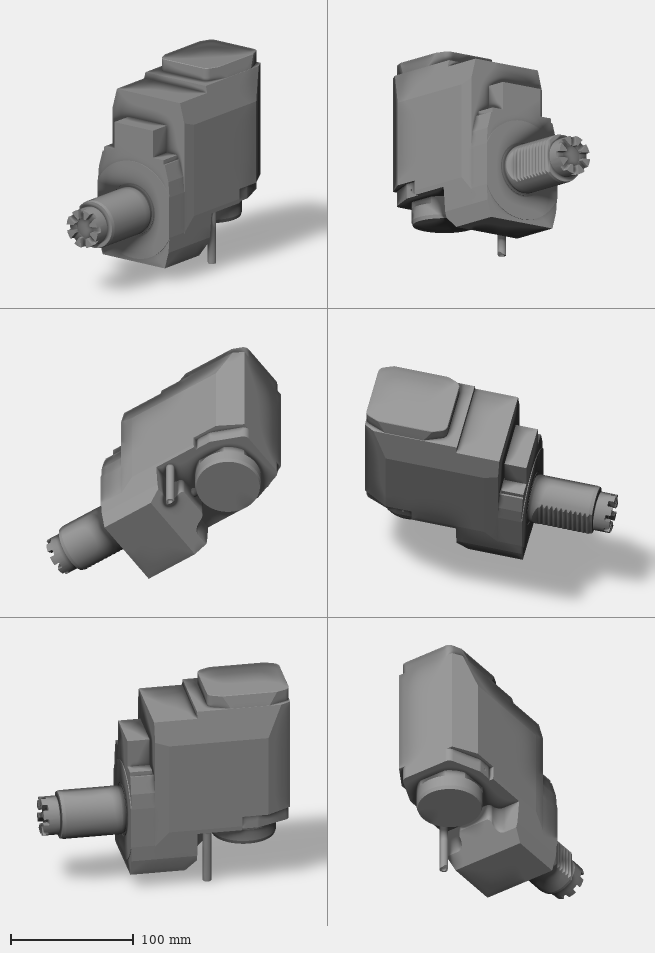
import cadquery as cq
import math


half_width = 38.0
rear_y = 133.7
front_y = 19.5
roof_z = 97.8
step_roof_z = 92.1
step_roof_y = 55.5
shoulder_z = 72.0
belly_z = -5.9
floor_z = -9.5
leg_rear_y = 54.7
leg_ramp_y = 45.5
side_slope = math.tan(math.radians(14.8))
front_chamfer_y = 31.1
rear_chamfer_y = 113.5
rear_half_width = 26.5

plate_half_width = 37.0
plate_corner_z = 17.2
plate_bend_half_width = 36.0
plate_bend_z = 30.0
plate_end_half_width = 32.1
plate_end_z = 44.0
pad_diameter = 82.5
pad_height = 0.6
seal_groove_outer_diameter = 44.8
seal_groove_inner_diameter = 42.0
seal_groove_depth = 0.6

key_depth = 18.4
key_base_half_width = 30.7
key_base_top_z = 47.9
key_half_width = 19.8
key_top_z = 71.0

rib_half_width = 16.2
rib_rear_y = 65.5
rib_corner_radius = 3.8
rib_root_radius = 6.7

head_y = 99.8
cover_top_z = 108.5
cover_edge_chamfer = 0.5
cover_flank_inset = 0.5
cover_half_length = rear_y - head_y
cover_end_half_width = 23.5
cover_side_slope = 0.41
cover_corner_radius = 5.7
flange_top_z = 2.6
flange_half_width = 35.0
flange_edge_radius = 4.5
flange_pocket_y = 91.7
side_hole_diameter = 2
side_hole_depth = 2
side_hole_z = -3.6
nose_diameter = 54.0
nose_bottom_z = -27.9
nose_chamfer_height = 3.0
nose_chamfer_width = 1.0
wrench_flat_bottom_z = -15.0
wrench_flat_half_width = 24.0

pipe_diameter = 7.0
pipe_bore_diameter = 4
pipe_x = 31.0
pipe_y = 63.8
pipe_bottom_z = -55.0
pipe_tip_chamfer = 2.6

jet_diameter = 6.5
jet_y = 66.5
jet_bottom_z = -15.5

shank_diameter = 40.0
shank_end_diameter = 38.8
shank_end_y = -53.5
shank_tip_chamfer_length = 2.8
shank_root_y = -3.8
relief_diameter = 37.5
relief_end_y = -1.6

tooth_tip_x = -16.0
tooth_root_x = -14.1
groove_count = 11
groove_mouth_width = 3.2
groove_root_width = 0.8
first_groove_y = -12.0
last_groove_y = -52.0
tooth_pitch = (first_groove_y - last_groove_y) / (groove_count - 1)
flat_start_y = -8.7

neck_diameter = 20.0
nut_diameter = 32.0
nut_rear_y = -54.5
nut_end_y = -68.3
nut_bore_diameter = 17.2
nut_slot_depth = 4.5
nut_bore_depth = 4.8
nut_slot_width = 5.0
nut_slot_radius = 0.8
nut_rear_chamfer = 0.6
nut_slot_count = 8
nut_slot_phase = 5.5


def prism_along_y(points, y_start, y_end):
    """Extrude an XZ outline from y_start to y_end."""
    plane = cq.Workplane("XZ", origin=(0, y_start, 0))
    return plane.polyline(points).close().extrude(y_start - y_end)


def cylinder_along_y(diameter, y_start, y_end):
    return cq.Workplane("XZ", origin=(0, y_start, 0)).circle(diameter / 2).extrude(y_start - y_end)


def box_between(x_range, y_range, z_range):
    ranges = (x_range, y_range, z_range)
    sizes = [high - low for low, high in ranges]
    lows = [low for low, high in ranges]
    return cq.Workplane("XY").box(*sizes, centered=False).translate(tuple(lows))


def mirror_outline(right_side):
    """Close a right-hand point list with its mirror image about X = 0."""
    return right_side + [(-x, other) for x, other in reversed(right_side)]


def half_width_at(z):
    """Half width of the sloped upper flanks at height z."""
    return half_width - (z - shoulder_z) * side_slope


def upper_outline(top_z, flank_inset=0.0):
    """XZ outline of the housing with its flanks carried up to top_z."""
    return mirror_outline([
        (plate_end_half_width, -plate_end_z),
        (plate_bend_half_width, -plate_bend_z),
        (half_width - flank_inset, belly_z),
        (half_width - flank_inset, shoulder_z),
        (half_width_at(top_z) - flank_inset, top_z),
    ])


def make_housing():
    body = prism_along_y(upper_outline(roof_z), front_y, rear_y)
    plan = mirror_outline([
        (plate_half_width, front_y),
        (half_width, front_chamfer_y),
        (half_width, rear_chamfer_y),
        (rear_half_width, rear_y),
    ])
    plan_prism = cq.Workplane("XY").workplane(offset=-plate_end_z).polyline(plan).close()
    body = body.intersect(plan_prism.extrude(roof_z + plate_end_z))
    ramp_rise = leg_rear_y - leg_ramp_y
    side = [
        (front_y, -plate_end_z),
        (leg_ramp_y, -plate_end_z),
        (leg_rear_y, -plate_end_z + ramp_rise),
        (leg_rear_y, floor_z),
        (rear_y, floor_z),
        (rear_y, roof_z),
        (step_roof_y, roof_z),
        (step_roof_y, step_roof_z),
        (front_y, step_roof_z),
    ]
    side_prism = cq.Workplane("YZ").polyline(side).close().extrude(half_width, both=True)
    return body.intersect(side_prism)


def make_plate():
    right_side = [
        (plate_end_half_width, -plate_end_z),
        (plate_bend_half_width, -plate_bend_z),
        (plate_half_width, -plate_corner_z),
        (plate_half_width, plate_corner_z),
        (plate_bend_half_width, plate_bend_z),
        (plate_end_half_width, plate_end_z),
    ]
    outline = mirror_outline(right_side)
    pad = cylinder_along_y(pad_diameter, 0, -pad_height)
    pad = pad.intersect(prism_along_y(outline, 0, -pad_height))
    plate = prism_along_y(outline, 0, front_y).union(pad)
    groove_bottom = -pad_height + seal_groove_depth
    groove = cylinder_along_y(seal_groove_outer_diameter, -pad_height, groove_bottom)
    groove = groove.cut(cylinder_along_y(seal_groove_inner_diameter, -pad_height, groove_bottom))
    return plate.cut(groove)


def make_key():
    base = box_between(
        (-key_base_half_width, key_base_half_width), (0, key_depth), (plate_end_z, key_base_top_z)
    )
    tongue = box_between((-key_half_width, key_half_width), (0, key_depth), (plate_end_z, key_top_z))
    return base.union(tongue)


def make_rib():
    """Rib behind the leg, blended into it and trimmed by the 45 degree ramp."""
    foot_half_width = rib_half_width + rib_root_radius
    foot_y = leg_rear_y + rib_root_radius
    shoulder_y = rib_rear_y - rib_corner_radius
    plan = (
        cq.Workplane("XY", origin=(0, 0, -plate_end_z))
        .moveTo(-foot_half_width, front_y)
        .lineTo(-foot_half_width, leg_rear_y)
        .radiusArc((-rib_half_width, foot_y), -rib_root_radius)
        .lineTo(-rib_half_width, shoulder_y)
        .radiusArc((-rib_half_width + rib_corner_radius, rib_rear_y), rib_corner_radius)
        .lineTo(rib_half_width - rib_corner_radius, rib_rear_y)
        .radiusArc((rib_half_width, shoulder_y), rib_corner_radius)
        .lineTo(rib_half_width, foot_y)
        .radiusArc((foot_half_width, leg_rear_y), -rib_root_radius)
        .lineTo(foot_half_width, front_y)
        .close()
        .extrude(plate_end_z)
    )
    ramp_end = leg_ramp_y + plate_end_z
    side = [(front_y, -plate_end_z), (leg_ramp_y, -plate_end_z), (ramp_end, 0), (front_y, 0)]
    return plan.intersect(cq.Workplane("YZ").polyline(side).close().extrude(half_width, both=True))


def head_plan(bottom_z, top_z):
    """Barrel-shaped prism around the head axis, rounded at its four end corners."""
    middle_half_width = cover_end_half_width + cover_side_slope * cover_half_length
    right_side = [
        (cover_end_half_width, head_y - cover_half_length),
        (middle_half_width, head_y),
        (cover_end_half_width, head_y + cover_half_length),
    ]
    plan = cq.Workplane("XY").workplane(offset=bottom_z).polyline(mirror_outline(right_side)).close()
    prism = plan.extrude(top_z - bottom_z)
    return prism.edges("|Z and (<Y or >Y)").fillet(cover_corner_radius)


def make_cover():
    flanks = prism_along_y(upper_outline(cover_top_z, cover_flank_inset), 0, rear_y)
    cover = head_plan(roof_z, cover_top_z).intersect(flanks)
    return cover.faces(">Z").edges().chamfer(cover_edge_chamfer)


def make_flange():
    y_range = (head_y - cover_half_length, rear_y)
    limit = box_between((-flange_half_width, flange_half_width), y_range, (floor_z, flange_top_z))
    flange = head_plan(floor_z, flange_top_z).intersect(limit)
    flange = flange.edges("|Z and (<X or >X)").fillet(flange_edge_radius)
    hole = cq.Workplane("YZ", origin=(-flange_half_width, head_y, side_hole_z))
    return flange.cut(hole.circle(side_hole_diameter / 2).extrude(side_hole_depth))


def flange_pocket():
    return box_between((-half_width, half_width), (flange_pocket_y, rear_y), (floor_z, flange_top_z))


def make_nose():
    radius = nose_diameter / 2
    tip_radius = radius - nose_chamfer_width
    profile = [
        (0, floor_z),
        (radius, floor_z),
        (radius, nose_bottom_z + nose_chamfer_height),
        (tip_radius, nose_bottom_z),
        (0, nose_bottom_z),
    ]
    nose = cq.Workplane("XZ").polyline(profile).close().revolve(360, (0, 0), (0, 1))
    square = cq.Workplane("XY").workplane(offset=wrench_flat_bottom_z)
    square = square.rect(2 * wrench_flat_half_width, 2 * wrench_flat_half_width)
    square = square.extrude(floor_z - wrench_flat_bottom_z)
    lower = cq.Workplane("XY").workplane(offset=nose_bottom_z).circle(radius)
    lower = lower.extrude(wrench_flat_bottom_z - nose_bottom_z)
    return nose.intersect(square.union(lower)).translate((0, head_y, 0))


def make_pipe():
    length = floor_z - pipe_bottom_z
    pipe = cq.Workplane("XY").circle(pipe_diameter / 2).extrude(length)
    pipe = pipe.cut(cq.Workplane("XY").circle(pipe_bore_diameter / 2).extrude(length))
    left = -pipe_diameter / 2
    corner = [(left, 0), (left + pipe_tip_chamfer, 0), (left, pipe_tip_chamfer)]
    pipe = pipe.cut(prism_along_y(corner, -pipe_diameter, pipe_diameter))
    return pipe.translate((pipe_x, pipe_y, pipe_bottom_z))


def make_jet():
    radius = jet_diameter / 2
    ball_z = jet_bottom_z + radius
    stem = cq.Workplane("XY").workplane(offset=ball_z).circle(radius).extrude(floor_z - ball_z)
    ball = cq.Workplane("XY").sphere(radius).translate((0, 0, ball_z))
    return stem.union(ball).translate((0, jet_y, 0))


def make_shank():
    radius = shank_diameter / 2
    end_radius = shank_end_diameter / 2
    profile = [
        (0, 0),
        (relief_diameter / 2, 0),
        (relief_diameter / 2, relief_end_y),
        (end_radius, relief_end_y),
        (radius, shank_root_y),
        (radius, shank_end_y + shank_tip_chamfer_length),
        (end_radius, shank_end_y),
        (0, shank_end_y),
    ]
    shank = cq.Workplane("XY").polyline(profile).close().revolve(360, (0, 0), (0, 1))
    return shank.cut(make_tooth_cutter())


def make_tooth_cutter():
    """Material removed for the flat: a 45 degree run-in and grooves, the last one open-ended."""
    radius = shank_diameter / 2
    outer_x = -radius
    run_in_length = tooth_tip_x - outer_x
    profile = [
        (outer_x, flat_start_y + run_in_length),
        (tooth_tip_x, flat_start_y),
        (tooth_tip_x, shank_end_y),
        (outer_x, shank_end_y),
    ]
    cutter = cq.Workplane("XY").polyline(profile).close().extrude(radius, both=True)
    for index in range(groove_count):
        center_y = first_groove_y - index * tooth_pitch
        groove = [
            (outer_x, center_y + groove_mouth_width / 2),
            (tooth_tip_x, center_y + groove_mouth_width / 2),
            (tooth_root_x, center_y + groove_root_width / 2),
            (tooth_root_x, center_y - groove_root_width / 2),
            (tooth_tip_x, center_y - groove_mouth_width / 2),
            (outer_x, center_y - groove_mouth_width / 2),
        ]
        prism = cq.Workplane("XY").polyline(groove).close().extrude(radius, both=True)
        cutter = cutter.union(prism)
    open_end = box_between((outer_x, tooth_root_x), (shank_end_y, last_groove_y), (-radius, radius))
    return cutter.union(open_end)


def make_nut():
    nut = cylinder_along_y(nut_diameter, nut_rear_y, nut_end_y)
    nut = nut.faces(">Y").edges().chamfer(nut_rear_chamfer)
    nut = nut.cut(cylinder_along_y(nut_bore_diameter, nut_end_y + nut_bore_depth, nut_end_y))
    slot = box_between(
        (0, nut_diameter),
        (nut_end_y, nut_end_y + nut_slot_depth),
        (-nut_slot_width / 2, nut_slot_width / 2),
    )
    slot = slot.faces(">Y").edges("|X").fillet(nut_slot_radius)
    for index in range(nut_slot_count):
        angle = nut_slot_phase + index * 360 / nut_slot_count
        nut = nut.cut(slot.rotate((0, 0, 0), (0, 1, 0), -angle))
    return nut.union(cylinder_along_y(neck_diameter, shank_end_y, nut_rear_y))


result = make_housing().cut(flange_pocket())
for piece in (
    make_plate(),
    make_key(),
    make_rib(),
    make_flange(),
    make_cover(),
    make_nose(),
    make_pipe(),
    make_jet(),
    make_shank(),
    make_nut(),
):
    result = result.union(piece)